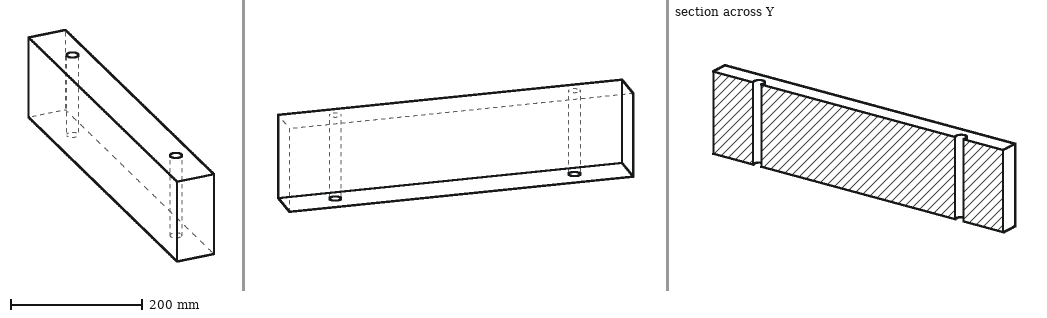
import cadquery as cq

length = 546.0
width = 62.0
height = 136.0

hole_diameter = 18.0
hole_spacing = 380.0
hole_to_back_face = 26.0
hole_y = width / 2 - hole_to_back_face


def make_block():
    """Plain rectangular block centred on the origin."""
    return cq.Workplane("XY").box(length, width, height)


def drill_holes(block):
    """Drill the pair of holes through the full height."""
    hole_centres = [(side * hole_spacing / 2, hole_y) for side in (-1, 1)]
    top_face = block.faces(">Z").workplane(origin=(0, 0, height / 2))
    return top_face.pushPoints(hole_centres).hole(hole_diameter)


result = drill_holes(make_block())